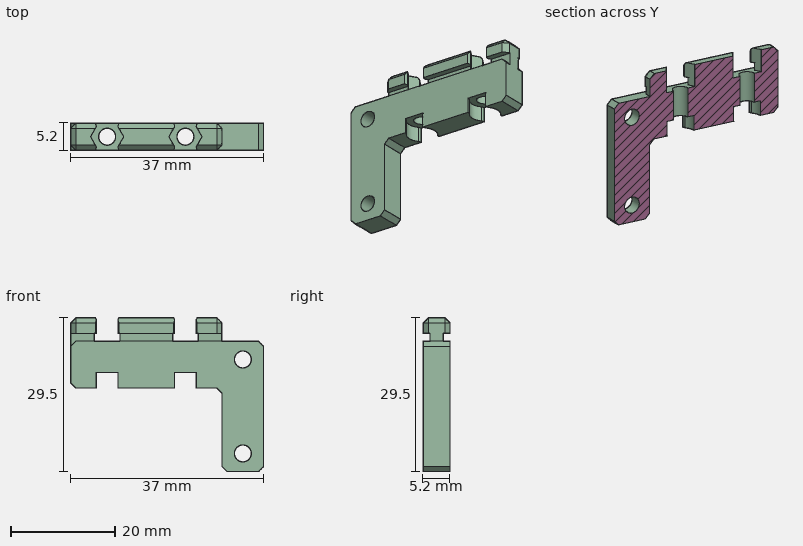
import cadquery as cq
import math

length = 37.0
thickness = 5.2
face_y = thickness / 2
leg_width = 8.0
leg_x = length - leg_width
body_bottom = 16.0
body_height = 9.0
body_top = body_bottom + body_height
chamfer = 1.0

rail_height = 4.5
head_height = 3.0
rail_top = body_top + rail_height
head_bottom = rail_top - head_height
neck_width = 2.6
rail_length = leg_x

fastener_x = (7.0, 22.0)
hole_diameter = 3.2
counterbore_radius = 3.0
counterbore_depth = 3.0

taper = 0.2
slot_mouth_half_width = 2.05
slot_inner_half_width = slot_mouth_half_width + taper
slot_inner_y = math.sqrt(counterbore_radius**2 - slot_inner_half_width**2)

hex_flats = 5.5
hex_corner = hex_flats / math.sqrt(3)
hex_slope = math.tan(math.radians(30))
waist_half_width = slot_mouth_half_width
waist_y = (hex_corner - waist_half_width) / hex_slope
gap_mouth_half_width = waist_half_width + taper

cross_hole_x = length - leg_width / 2
cross_hole_inset = 3.5
cross_hole_z = (cross_hole_inset, body_top - cross_hole_inset)


def make_plate():
    """L-shaped plate with chamfered outline corners."""
    outline = [
        (0, body_bottom + chamfer),
        (chamfer, body_bottom),
        (leg_x - chamfer, body_bottom),
        (leg_x, body_bottom - chamfer),
        (leg_x, chamfer),
        (leg_x + chamfer, 0),
        (length - chamfer, 0),
        (length, chamfer),
        (length, body_top - chamfer),
        (length - chamfer, body_top),
        (chamfer, body_top),
        (0, body_top - chamfer),
    ]
    return cq.Workplane("XZ").polyline(outline).close().extrude(face_y, both=True)


def box_on_centreline(width, bottom, top):
    """Block of the rail length, centred on the thickness, between two heights."""
    return (
        cq.Workplane("XY", origin=(rail_length / 2, 0, bottom))
        .box(rail_length, width, top - bottom, centered=(True, True, False))
    )


def make_rail():
    """Rail head with chamfered top and upright edges, on a neck that runs down into the plate."""
    head = box_on_centreline(thickness, head_bottom, rail_top).edges("|Z or >Z").chamfer(chamfer)
    neck = box_on_centreline(neck_width, body_top - chamfer, head_bottom)
    return head.union(neck)


def extrude_symmetric(right_side, x, bottom, height):
    """Vertical prism whose outline is the given right side and its half-turn copy."""
    left_side = [(-px, -py) for px, py in right_side]
    return (
        cq.Workplane("XY", origin=(x, 0, bottom))
        .polyline(right_side + left_side)
        .close()
        .extrude(height)
    )


def make_rail_gap(x):
    """Cutter for one gap in the rail, above the body."""
    right_side = [
        (gap_mouth_half_width, -face_y),
        (waist_half_width, -waist_y),
        (hex_corner, 0),
        (waist_half_width, waist_y),
        (gap_mouth_half_width, face_y),
    ]
    return extrude_symmetric(right_side, x, body_top, rail_height)


def make_fastener_hole(x):
    """Cutter for a vertical through hole with a counterbore from below, opened to both faces by a slot."""
    base = cq.Workplane("XY", origin=(x, 0, body_bottom))
    hole = base.circle(hole_diameter / 2).extrude(body_height)
    counterbore = base.circle(counterbore_radius).extrude(counterbore_depth)
    slot_right_side = [
        (slot_mouth_half_width, -face_y),
        (slot_inner_half_width, -slot_inner_y),
        (slot_inner_half_width, slot_inner_y),
        (slot_mouth_half_width, face_y),
    ]
    slot = extrude_symmetric(slot_right_side, x, body_bottom, counterbore_depth)
    return hole.union(counterbore).union(slot)


def make_cross_hole(z):
    """Cutter for a through hole along Y in the leg."""
    return (
        cq.Workplane("XZ", origin=(cross_hole_x, 0, z))
        .circle(hole_diameter / 2)
        .extrude(face_y, both=True)
    )


result = make_plate().union(make_rail())
for x in fastener_x:
    result = result.cut(make_rail_gap(x))
    result = result.cut(make_fastener_hole(x))
for z in cross_hole_z:
    result = result.cut(make_cross_hole(z))